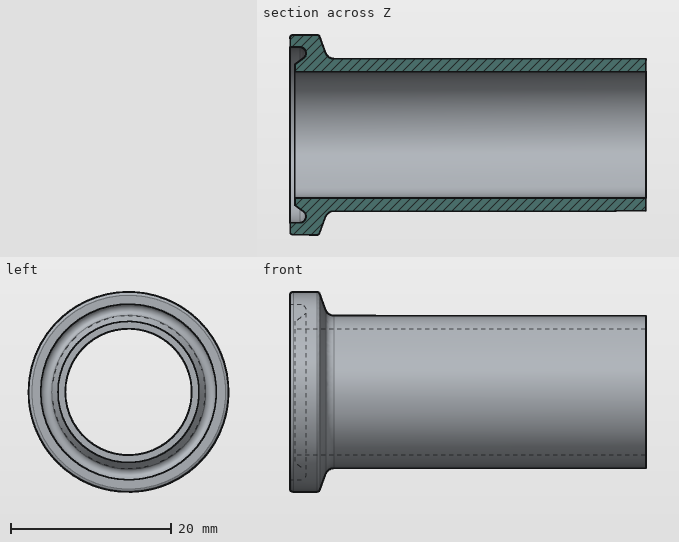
import cadquery as cq
import math

length = 44.45
bore_radius = 15.75 / 2
tube_radius = 19.05 / 2
flange_radius = 25.0 / 2

rim_length = 3.65
back_face_angle = 20.0
rim_fillet = 0.4
neck_fillet = 1.05

tube_end_fillet = 0.15

groove_outer_radius = 21.9 / 2
land_radius = 8.8
land_depth = 0.62
groove_round = 0.75
groove_inner_angle = 39.0
groove_wall_depth = 1.25


def revolve_about_x(profile):
    """Turn a closed profile of axial (X) and radial (Y) sizes around the X axis."""
    return profile.close().revolve(360, (0, 0, 0), (1, 0, 0))


def circles_between(start_x, end_x):
    """Select the circular edges whose centers lie on the axis between two X places."""
    near_axis = bore_radius / 2
    box = cq.selectors.BoxSelector((start_x, -near_axis, -near_axis), (end_x, near_axis, near_axis))
    return cq.selectors.AndSelector(cq.selectors.TypeSelector("CIRCLE"), box)


def make_body():
    taper_length = (flange_radius - tube_radius) * math.tan(math.radians(back_face_angle))
    neck_start = rim_length + taper_length
    body = revolve_about_x(
        cq.Workplane("XY")
        .lineTo(0, flange_radius)
        .lineTo(rim_length, flange_radius)
        .lineTo(neck_start, tube_radius)
        .lineTo(length, tube_radius)
        .lineTo(length, 0)
    )
    taper_middle = (rim_length + neck_start) / 2
    body = body.edges(circles_between(taper_middle, length / 2)).fillet(neck_fillet)
    body = body.edges(circles_between(-rim_length, taper_middle)).fillet(rim_fillet)
    return body.faces(">X").edges().fillet(tube_end_fillet)


def make_front_recess():
    slope = math.radians(groove_inner_angle)
    center_x = groove_wall_depth
    center_r = groove_outer_radius - groove_round
    tangent_x = center_x + groove_round * math.sin(slope)
    tangent_r = center_r - groove_round * math.cos(slope)
    return revolve_about_x(
        cq.Workplane("XY")
        .lineTo(0, groove_outer_radius)
        .lineTo(groove_wall_depth, groove_outer_radius)
        .threePointArc((center_x + groove_round, center_r), (tangent_x, tangent_r))
        .lineTo(land_depth, land_radius)
        .lineTo(land_depth, 0)
    )


def make_bore():
    return cq.Workplane("YZ").circle(bore_radius).extrude(length)


result = make_body().cut(make_front_recess()).cut(make_bore())